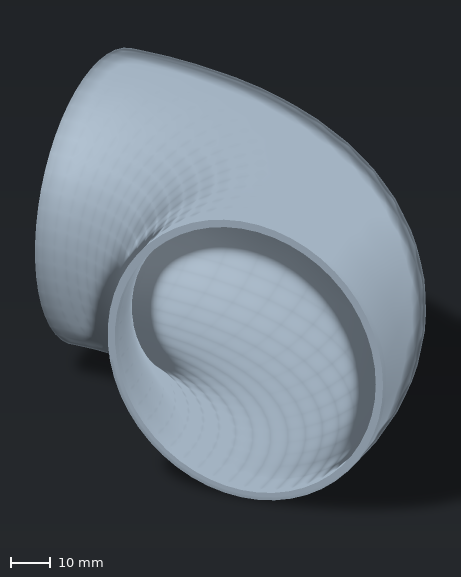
import cadquery as cq

outer_diameter = 76.3
bore_diameter = 72.3
bend_radius = 74.9
bend_angle = 88.4
collar_length = 2.0


def elbow_rod(diameter):
    """Solid rod along the elbow centreline: straight stub, bend, straight stub.

    The bend axis is the Z axis through the origin, and the first end faces -Y.
    """
    radius = diameter / 2
    bend = (
        cq.Workplane("XZ")
        .center(bend_radius, 0)
        .circle(radius)
        .revolve(bend_angle, (-bend_radius, 0), (-bend_radius, 1))
    )
    stub = cq.Workplane("XZ").center(bend_radius, 0).circle(radius).extrude(collar_length)
    end_stub = stub.mirror("XZ").rotate((0, 0, 0), (0, 0, 1), bend_angle)
    return bend.union(stub).union(end_stub)


result = elbow_rod(outer_diameter).cut(elbow_rod(bore_diameter))